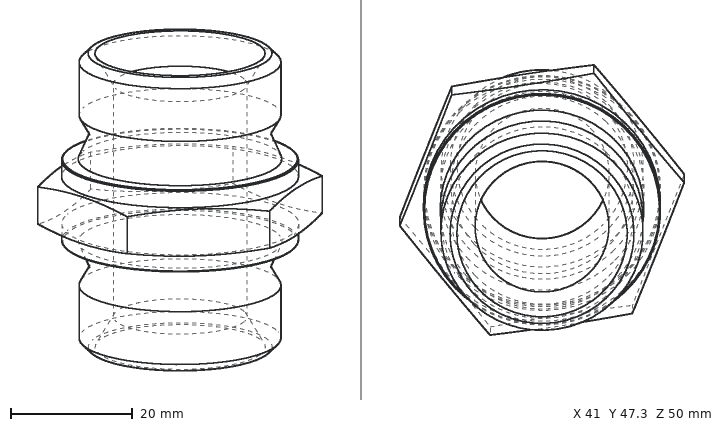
import cadquery as cq
import math

half_length = 50 / 2

hex_across_flats = 41
hex_height = 8
hex_bevel_angle = 15

flange_radius = 39 / 2
flange_top = 7
flange_edge_chamfer = 0.2

end_radius = 33.25 / 2
end_chamfer = 1.5
end_base = 14.5

groove_upper = 12
groove_lower = 10.6
groove_side_radius = end_radius - (end_base - groove_upper) * math.tan(math.radians(30))
groove_bottom_radius = 15
groove_bottom = (groove_upper + groove_lower) / 2
groove_foot_radius = 16.75

bore_radius = 22 / 2
mouth_radius = 14
mouth_half_angle = 30
mouth_depth = (mouth_radius - bore_radius) / math.tan(math.radians(mouth_half_angle))


def make_hexagon():
    """Hexagon with corners on Y, bevelled at both ends from the circle inscribed in its flats."""
    inscribed_radius = hex_across_flats / 2
    corner_radius = inscribed_radius / math.cos(math.radians(30))
    bevel_drop = (corner_radius - inscribed_radius) * math.tan(math.radians(hex_bevel_angle))
    top = hex_height / 2
    hexagon = (
        cq.Workplane("XY")
        .polygon(6, 2 * corner_radius)
        .extrude(top, both=True)
        .rotate((0, 0, 0), (0, 0, 1), 30)
    )
    bevel_envelope = (
        cq.Workplane("XZ")
        .moveTo(0, -top)
        .lineTo(inscribed_radius, -top)
        .lineTo(corner_radius, bevel_drop - top)
        .lineTo(corner_radius, top - bevel_drop)
        .lineTo(inscribed_radius, top)
        .lineTo(0, top)
        .close()
        .revolve(360, (0, 0, 0), (0, 1, 0))
    )
    return hexagon.intersect(bevel_envelope)


def make_upper_end():
    """Flange, groove and hollow end above the middle plane."""
    return (
        cq.Workplane("XZ")
        .moveTo(bore_radius, 0)
        .lineTo(flange_radius, 0)
        .lineTo(flange_radius, flange_top - flange_edge_chamfer)
        .lineTo(flange_radius - flange_edge_chamfer, flange_top)
        .lineTo(groove_foot_radius, flange_top)
        .lineTo(groove_side_radius, groove_lower)
        .threePointArc((groove_bottom_radius, groove_bottom), (groove_side_radius, groove_upper))
        .lineTo(end_radius, end_base)
        .lineTo(end_radius, half_length - end_chamfer)
        .lineTo(end_radius - end_chamfer, half_length)
        .lineTo(mouth_radius, half_length)
        .lineTo(bore_radius, half_length - mouth_depth)
        .close()
        .revolve(360, (0, 0, 0), (0, 1, 0))
    )


hexagon_ring = make_hexagon().cut(cq.Workplane("XY").circle(bore_radius).extrude(hex_height, both=True))
upper_end = make_upper_end()
lower_end = upper_end.mirror("XY")
result = hexagon_ring.union(upper_end).union(lower_end)